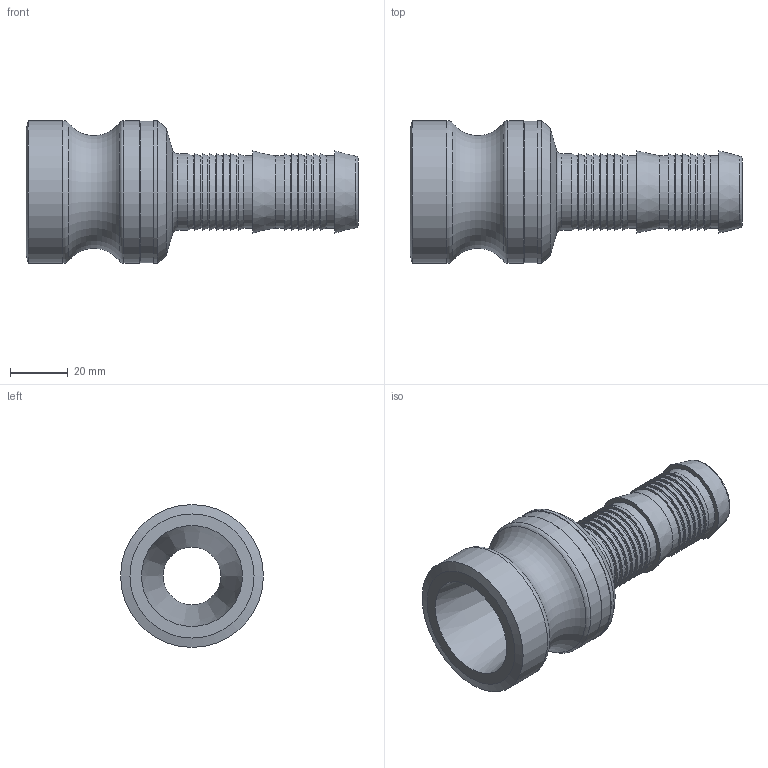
import cadquery as cq
import math

LENGTH = 115.0

HEAD_DIA = 49.5
FACE_DIA = 43.0
FACE_CHAMFER_LENGTH = 0.8
CAM_GROOVE_CENTRE = 23.5
CAM_GROOVE_RADIUS = 11.0
CAM_GROOVE_DIA = 39.0
NOSE_LIP_RADIUS = 2.5
COLLAR_LIP_RADIUS = 2.0

RECESS_START = 39.3
RECESS_END = 44.0
RECESS_DIA = 49.0
COLLAR_END = 45.4
SHOULDER_EDGE_X = 48.55
SHOULDER_BACK_ANGLE = 16.0
NECK_FILLET = 2.0

NECK_DIA = 26.5
NECK_START = 52.6
NECK_END = 56.0
SHANK_DIA = 25.0
RIDGE_DIA = NECK_DIA
RIDGE_PITCH = 2.5
RIDGE_LENGTH = 2.0
FIRST_RIDGE_COUNT = 7
SECOND_RIDGE_COUNT = 6
PLAIN_GAP = 3.0
BARB_DIA = 28.5
BARB_LENGTH = 8.0
TIP_DIA = 24.5
TIP_ROUND_RADIUS = 1.0

MOUTH_DIA = 35.0
MOUTH_DEPTH = 42.5
BORE_DIA = 20.0

HEAD_R = HEAD_DIA / 2
NECK_R = NECK_DIA / 2
SHANK_R = SHANK_DIA / 2
GROOVE_BOTTOM_R = CAM_GROOVE_DIA / 2


def groove_lip(lip_radius, side):
    """Rounding between the head surface and the cam groove; side is -1 (nose) or +1 (collar).

    Returns its point on the head, its middle and its point on the groove, as (x, r).
    """
    lip_centre_r = HEAD_R - lip_radius
    rise = GROOVE_BOTTOM_R + CAM_GROOVE_RADIUS - lip_centre_r
    centre_gap = CAM_GROOVE_RADIUS + lip_radius
    run = math.sqrt(centre_gap ** 2 - rise ** 2)
    turn = math.atan2(run, rise)
    lip_centre_x = CAM_GROOVE_CENTRE + side * run

    def point_at(angle):
        x = lip_centre_x - side * lip_radius * math.sin(angle)
        return x, lip_centre_r + lip_radius * math.cos(angle)

    return point_at(0), point_at(turn / 2), point_at(turn)


def add_cam_groove(outline):
    """Nose lip, round groove and collar lip, all meeting smoothly."""
    nose_top, nose_middle, nose_foot = groove_lip(NOSE_LIP_RADIUS, -1)
    collar_top, collar_middle, collar_foot = groove_lip(COLLAR_LIP_RADIUS, 1)
    return (
        outline.lineTo(*nose_top)
        .threePointArc(nose_middle, nose_foot)
        .threePointArc((CAM_GROOVE_CENTRE, GROOVE_BOTTOM_R), collar_foot)
        .threePointArc(collar_middle, collar_top)
    )


def add_nose(outline):
    """Front face and its chamfer."""
    return outline.lineTo(0, FACE_DIA / 2).lineTo(FACE_CHAMFER_LENGTH, HEAD_R)


def add_collar(outline):
    """Collar with its shallow recess, whose front wall is a short 45 degree cone."""
    recess_r = RECESS_DIA / 2
    recess_depth = HEAD_R - recess_r
    return (
        outline.lineTo(RECESS_START, HEAD_R)
        .lineTo(RECESS_START + recess_depth, recess_r)
        .lineTo(RECESS_END, recess_r)
        .lineTo(RECESS_END, HEAD_R)
        .lineTo(COLLAR_END, HEAD_R)
    )


def add_shoulder(outline):
    """Two cones stepping down from the collar and the fillet into the neck."""
    lean = math.radians(SHOULDER_BACK_ANGLE)
    turn = math.pi / 2 - lean

    def fillet_point(angle):
        x = NECK_START - NECK_FILLET * math.sin(angle)
        return x, NECK_R + NECK_FILLET * (1 - math.cos(angle))

    fillet_start_x, fillet_start_r = fillet_point(turn)
    edge_r = fillet_start_r + (fillet_start_x - SHOULDER_EDGE_X) / math.tan(lean)
    return (
        outline.lineTo(SHOULDER_EDGE_X, edge_r)
        .lineTo(fillet_start_x, fillet_start_r)
        .threePointArc(fillet_point(turn / 2), (NECK_START, NECK_R))
    )


def add_ridges(outline, start, count):
    """Saw-tooth ridges, each rising square from the shank and sloping back to it."""
    for i in range(count):
        x = start + i * RIDGE_PITCH
        outline = outline.lineTo(x, SHANK_R)
        outline = outline.lineTo(x, RIDGE_DIA / 2)
        outline = outline.lineTo(x + RIDGE_LENGTH, SHANK_R)
    return outline


def ridges_end(start, count):
    """Where the last ridge of a group has sloped back to the shank."""
    return start + (count - 1) * RIDGE_PITCH + RIDGE_LENGTH


def add_barb_front(outline, start):
    """Square front face of a large barb."""
    return outline.lineTo(start, SHANK_R).lineTo(start, BARB_DIA / 2)


def add_tip_round(outline):
    """Rounding between the last barb's cone and the rear face."""
    slope = math.atan2((BARB_DIA - TIP_DIA) / 2, BARB_LENGTH)
    turn = math.pi / 2 - slope
    centre_x = LENGTH - TIP_ROUND_RADIUS
    rear_r = TIP_DIA / 2 - TIP_ROUND_RADIUS * math.tan(turn / 2)

    def point_at(angle):
        return centre_x + TIP_ROUND_RADIUS * math.sin(angle), rear_r + TIP_ROUND_RADIUS * math.cos(angle)

    return outline.lineTo(*point_at(slope)).threePointArc(point_at(slope + turn / 2), (LENGTH, rear_r))


def add_shank(outline):
    """Neck, then ridges and a large barb, twice over."""
    first_ridges = NECK_END + RIDGE_PITCH
    first_barb = ridges_end(first_ridges, FIRST_RIDGE_COUNT) + PLAIN_GAP
    second_ridges = first_barb + BARB_LENGTH + PLAIN_GAP
    second_barb = ridges_end(second_ridges, SECOND_RIDGE_COUNT) + PLAIN_GAP

    outline = outline.lineTo(NECK_END, NECK_R).lineTo(NECK_END + RIDGE_LENGTH, SHANK_R)
    outline = add_ridges(outline, first_ridges, FIRST_RIDGE_COUNT)
    outline = add_barb_front(outline, first_barb)
    outline = outline.lineTo(first_barb + BARB_LENGTH, SHANK_R)
    outline = add_ridges(outline, second_ridges, SECOND_RIDGE_COUNT)
    outline = add_barb_front(outline, second_barb)
    return add_tip_round(outline)


def add_bore(outline):
    """Rear face, straight passage and conical mouth back to the front face."""
    return outline.lineTo(LENGTH, BORE_DIA / 2).lineTo(MOUTH_DEPTH, BORE_DIA / 2).close()


outline = cq.Workplane("XY").moveTo(0, MOUTH_DIA / 2)
for add_section in (add_nose, add_cam_groove, add_collar, add_shoulder, add_shank, add_bore):
    outline = add_section(outline)
result = outline.revolve(360, (0, 0, 0), (1, 0, 0))